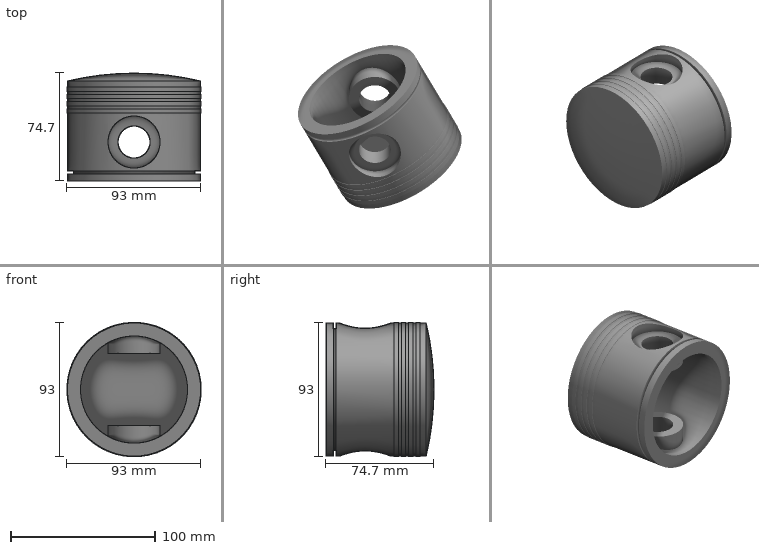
import cadquery as cq
import math

ring_diameter = 93.0
piston_diameter = 92.3
cavity_diameter = 74.1
deck_height = 69.2
overall_height = 74.7
crown_thickness = 11.2
cavity_depth = deck_height - crown_thickness

ring_count = 4
ring_height = 3.0
ring_pitch = 5.0
lowest_ring_base = 47.0
groove_floor_diameter = 84.3

oil_groove_base = 4.9
oil_groove_height = 2.0

pin_height = 27.0
pin_bore_diameter = 22.0
boss_diameter = 36.0
boss_inner_gap = 49.9
recess_floor_gap = 76.9


def cylinder_along_y(diameter, base, height):
    """Solid cylinder on the Y axis, from Y = base to Y = base + height."""
    profile = cq.Workplane("XZ", origin=(0, base, 0)).circle(diameter / 2)
    return profile.extrude(-height)


def cylinder_along_z(diameter, length):
    """Solid cylinder on the pin axis, centred on Z = 0."""
    profile = cq.Workplane("XY", origin=(0, pin_height, 0)).circle(diameter / 2)
    return profile.extrude(length / 2, both=True)


def annulus(inner_diameter, base, height):
    """Ring-shaped solid reaching out to the compression ring diameter."""
    outer = cylinder_along_y(ring_diameter, base, height)
    return outer.cut(cylinder_along_y(inner_diameter, base, height))


def make_ring(base):
    return annulus(groove_floor_diameter, base, ring_height)


def make_blank():
    """Solid piston outline with a spherical dome, revolved about Y."""
    radius = piston_diameter / 2
    dome_rise = overall_height - deck_height
    dome_radius = (radius**2 + dome_rise**2) / (2 * dome_rise)
    half_angle = math.asin(radius / dome_radius) / 2
    dome_center = overall_height - dome_radius
    dome_middle = (
        dome_radius * math.sin(half_angle),
        dome_center + dome_radius * math.cos(half_angle),
    )
    return (
        cq.Workplane("XY")
        .lineTo(radius, 0)
        .lineTo(radius, deck_height)
        .threePointArc(dome_middle, (0, overall_height))
        .close()
        .revolve(360, (0, 0, 0), (0, 1, 0))
    )


def make_bosses():
    """Pair of bosses rising from the cavity wall toward the middle."""
    column = cylinder_along_z(boss_diameter, recess_floor_gap)
    return column.cut(cylinder_along_z(boss_diameter, boss_inner_gap))


def make_recesses():
    """Cutters that sink the outer boss faces below the skirt."""
    column = cylinder_along_z(boss_diameter, ring_diameter)
    return column.cut(cylinder_along_z(boss_diameter, recess_floor_gap))


def make_piston():
    piston = make_blank().cut(cylinder_along_y(cavity_diameter, 0, cavity_depth))
    piston = piston.union(make_bosses())
    piston = piston.cut(make_recesses())
    piston = piston.cut(cylinder_along_z(pin_bore_diameter, ring_diameter))
    for base in ring_bases:
        piston = piston.cut(make_ring(base))
    return piston.cut(annulus(groove_floor_diameter, oil_groove_base, oil_groove_height))


ring_bases = [lowest_ring_base + index * ring_pitch for index in range(ring_count)]
piston = make_piston()
rings = [make_ring(base) for base in ring_bases]

result = cq.Compound.makeCompound([piston.solids().val(), *[ring.solids().val() for ring in rings]])